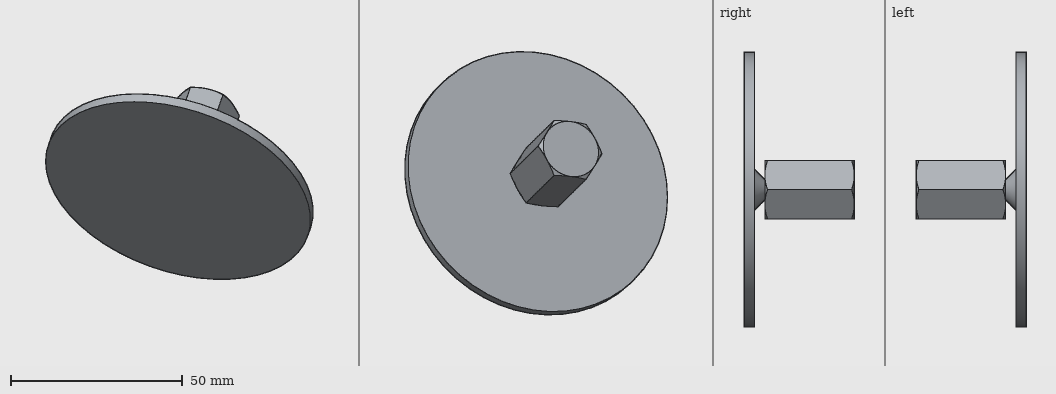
import cadquery as cq
import math

plate_diameter = 80.0
plate_thickness = 3.0
total_depth = 32.0
hex_length = 26.0
hex_across_flats = 17.0
boss_base_diameter = 12.0
boss_tip_diameter = 6.0
hex_chamfer_angle = 30.0

hex_start = total_depth - hex_length
flat_radius = hex_across_flats / 2
corner_radius = flat_radius / math.cos(math.radians(30))
chamfer_depth = (corner_radius - flat_radius) * math.tan(math.radians(hex_chamfer_angle))


def make_plate():
    """Turned base plate with a conical boss that carries the hex body."""
    profile = (
        cq.Workplane("XY")
        .lineTo(-plate_diameter / 2, 0)
        .lineTo(-plate_diameter / 2, plate_thickness)
        .lineTo(-boss_base_diameter / 2, plate_thickness)
        .lineTo(-boss_tip_diameter / 2, hex_start)
        .lineTo(0, hex_start)
        .close()
    )
    return profile.revolve(360, (0, 0, 0), (0, 1, 0))


def make_chamfer_envelope():
    """Turned envelope whose conical ends bevel the corners of the hexagon."""
    return (
        cq.Workplane("XY")
        .moveTo(0, hex_start)
        .lineTo(flat_radius, hex_start)
        .lineTo(corner_radius, hex_start + chamfer_depth)
        .lineTo(corner_radius, total_depth - chamfer_depth)
        .lineTo(flat_radius, total_depth)
        .lineTo(0, total_depth)
        .close()
        .revolve(360, (0, 0, 0), (0, 1, 0))
    )


def make_hex_body():
    """Hexagonal body with corners on the X axis and both ends chamfered."""
    prism = (
        cq.Workplane("XZ", origin=(0, hex_start, 0))
        .polygon(6, 2 * corner_radius)
        .extrude(-hex_length)
    )
    return prism.intersect(make_chamfer_envelope())


plate = make_plate()
hex_body = make_hex_body()

result = cq.Compound.makeCompound([plate.solids().val(), hex_body.solids().val()])